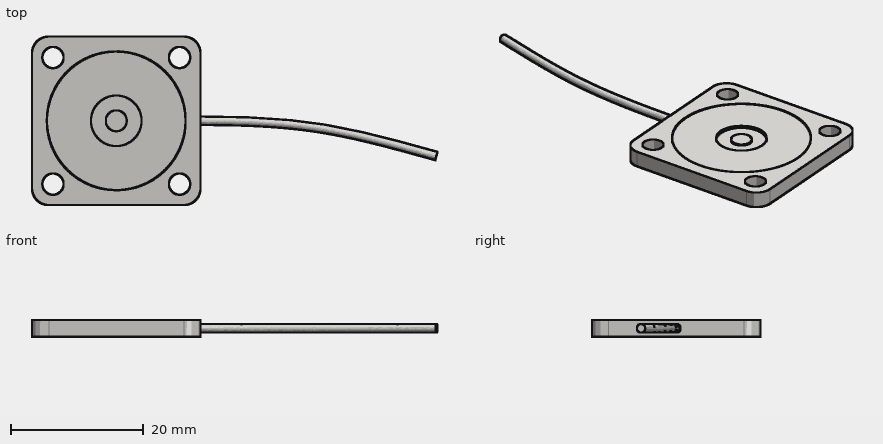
import cadquery as cq
import math

side = 25.4
thickness = 2.54
corner_radius = 2.54
mount_hole_diameter = 3.17
mount_hole_spacing = 19.05

recess_diameter = 20.95
cover_diameter = 20.83
cover_thickness = 1.27
cover_setback = 0.0635
recess_depth = cover_thickness + cover_setback

well_diameter = 7.62
well_depth = 0.381
button_diameter = 3.17
button_height = 0.2

overall_length = 61.06
cable_diameter = 1.32
cable_bend_angle = 15.5
cable_drop = 5.3
cable_middle_run = 17.5
cable_middle_drop = 1.04


def make_cable():
    """Round cable along a smooth curve that starts square to the housing side."""
    bend = math.radians(cable_bend_angle)
    end_face_overhang = cable_diameter / 2 * math.sin(bend)
    start = (side / 2, 0)
    middle = (side / 2 + cable_middle_run, -cable_middle_drop)
    end = (overall_length - side / 2 - end_face_overhang, -cable_drop)
    end_direction = (math.cos(bend), -math.sin(bend))
    path = (
        cq.Workplane("XY", origin=(0, 0, thickness / 2))
        .spline([start, middle, end], tangents=[(1, 0), end_direction])
    )
    return (
        cq.Workplane("YZ", origin=(side / 2, 0, thickness / 2))
        .circle(cable_diameter / 2)
        .sweep(path)
    )


def make_housing():
    """Square plate with a blind round recess, corner holes and the fixed cable."""
    plate = (
        cq.Workplane("XY")
        .rect(side, side)
        .extrude(thickness)
        .edges("|Z")
        .fillet(corner_radius)
    )
    plate = (
        plate.faces(">Z")
        .workplane()
        .rect(mount_hole_spacing, mount_hole_spacing, forConstruction=True)
        .vertices()
        .hole(mount_hole_diameter)
    )
    plate = plate.faces(">Z").workplane().hole(recess_diameter, recess_depth)
    return plate.union(make_cable())


def make_cover():
    """Disc with a central well and a low load button on the well floor."""
    disc = (
        cq.Workplane("XY", origin=(0, 0, thickness - recess_depth))
        .circle(cover_diameter / 2)
        .extrude(cover_thickness)
    )
    disc = disc.faces(">Z").workplane().hole(well_diameter, well_depth)
    well_floor = thickness - cover_setback - well_depth
    button = (
        cq.Workplane("XY", origin=(0, 0, well_floor))
        .circle(button_diameter / 2)
        .extrude(button_height)
    )
    return disc.union(button)


housing = make_housing()
cover = make_cover()

result = cq.Compound.makeCompound([housing.val(), cover.val()])